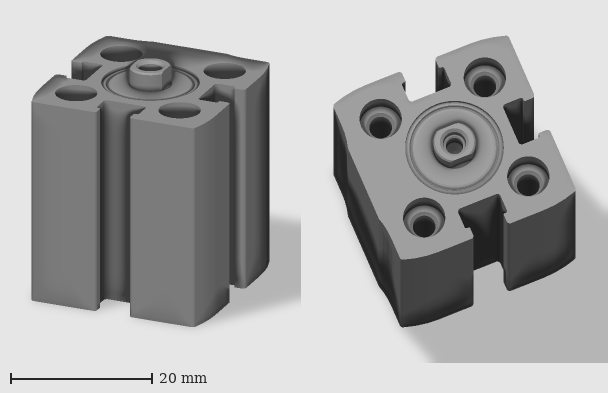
import cadquery as cq
import math

height = 30.5
side = 27.0
half_side = side / 2
bulge_radius = 16.0
corner_radius = 0.5

pad_rise = 0.5
pad_half_width = 5.68
pad_foot_half_width = 9.0

hole_pitch = 16.0
hole_diameter = 3.25
hole_sink_diameter = 4.12
counterbore_diameter = 6.0
counterbore_depth = 3.5

mouth_width = 5.15
mouth_radius = 0.5
lip_depth = 1.7
lip_radius = 0.2
undercut_width = 6.5
undercut_radius = 0.5
undercut_lip_radius = 0.3
slot_depth = 4.82

recess_radius = 14.0 / 2
recess_depth = 0.53
bevel_top_radius = 6.4
bevel_top_depth = 0.2
groove_outer_radius = 6.27
groove_inner_radius = 6.15
groove_depth = 0.5
bearing_shoulder_radius = 5.87
bearing_shoulder_depth = 0.25
bearing_face_radius = 5.6
bearing_face_depth = 0.2

rod_diameter = 6.0
rod_radius = rod_diameter / 2
bore_depth = 9.9
bore_rim_chamfer = 0.13
rod_end_z = 33.0
rod_end_chamfer = 0.23
flats_width = 5.0
flats_end_depth = 0.2
shank_chamfer_length = 0.3

rod_hole_diameter = 3.3
rod_hole_sink_diameter = 4.12
rod_hole_depth = 1.6
rod_core_diameter = 2.48
rod_core_sink_diameter = 2.9
rod_core_depth = 3.95
drill_tip_angle = 118.0


def make_profile():
    bulge_start = hole_pitch / 2
    bulge_run = half_side - bulge_start
    bulge_inset = bulge_radius - math.sqrt(bulge_radius**2 - bulge_run**2)
    corner_x = half_side - bulge_inset
    pad_y = half_side + pad_rise
    right_half = (
        cq.Workplane("XY")
        .moveTo(0, -half_side)
        .lineTo(corner_x, -half_side)
        .radiusArc((half_side, -bulge_start), -bulge_radius)
        .lineTo(half_side, bulge_start)
        .radiusArc((corner_x, half_side), -bulge_radius)
        .lineTo(pad_foot_half_width, half_side)
        .tangentArcPoint((pad_half_width, pad_y), relative=False)
        .lineTo(0, pad_y)
    )
    profile = right_half.mirrorY().extrude(height)
    corners = [(sx * corner_x, sy * half_side) for sx in (-1, 1) for sy in (-1, 1)]
    return round_vertical_edges(profile, corners, corner_radius)


def round_vertical_edges(body, points, radius):
    """Round the vertical edges of a body that pass through the given XY points."""
    tolerance = 0.003

    def passes_a_point(edge):
        center = edge.Center()
        return any(math.hypot(center.x - x, center.y - y) < tolerance for x, y in points)

    return body.edges("|Z").filter(passes_a_point).edges().fillet(radius)


def cut_t_slot(body, angle):
    """Cut the T-slot of the -Y side, turned about Z by the given angle."""
    outer_y = -half_side
    lip_y = outer_y + lip_depth
    mouth = cq.Workplane("XY").box(mouth_width, lip_depth, height, centered=(True, False, False))
    undercut_depth = slot_depth - lip_depth
    undercut = cq.Workplane("XY").box(
        undercut_width, undercut_depth, height, centered=(True, False, False)
    )
    undercut = undercut.edges("|Z and >Y").fillet(undercut_radius)
    undercut = undercut.edges("|Z and <Y").fillet(undercut_lip_radius)
    slot = mouth.translate((0, outer_y, 0)).union(undercut.translate((0, lip_y, 0)))

    body = body.rotate((0, 0, 0), (0, 0, 1), -angle).cut(slot)
    half_mouth = mouth_width / 2
    body = round_vertical_edges(body, [(-half_mouth, outer_y), (half_mouth, outer_y)], mouth_radius)
    body = round_vertical_edges(body, [(-half_mouth, lip_y), (half_mouth, lip_y)], lip_radius)
    return body.rotate((0, 0, 0), (0, 0, 1), angle)


def make_mounting_hole():
    """Through hole with a 45 degree sink at the floor of its counterbore."""
    hole_radius = hole_diameter / 2
    sink_radius = hole_sink_diameter / 2
    counterbore_radius = counterbore_diameter / 2
    floor_z = height - counterbore_depth
    return (
        cq.Workplane("XZ")
        .polyline(
            [
                (0, 0),
                (hole_radius, 0),
                (hole_radius, floor_z - (sink_radius - hole_radius)),
                (sink_radius, floor_z),
                (counterbore_radius, floor_z),
                (counterbore_radius, height),
                (0, height),
            ]
        )
        .close()
        .revolve(360, (0, 0), (0, 1))
    )


def make_bearing_recess():
    """Stepped ring, lower than the top face, that leaves the bearing face standing inside it."""
    return (
        cq.Workplane("XZ")
        .polyline(
            [
                (0, height),
                (recess_radius, height),
                (recess_radius, height - recess_depth),
                (bevel_top_radius, height - bevel_top_depth),
                (groove_outer_radius, height - groove_depth),
                (groove_inner_radius, height - groove_depth),
                (bearing_shoulder_radius, height - bearing_shoulder_depth),
                (bearing_face_radius, height - bearing_face_depth),
                (0, height - bearing_face_depth),
            ]
        )
        .close()
        .revolve(360, (0, 0), (0, 1))
    )


def make_rod_bore():
    face_z = height - bearing_face_depth
    rim_radius = rod_radius + bore_rim_chamfer
    bottom_z = height - bore_depth
    return (
        cq.Workplane("XZ")
        .polyline(
            [
                (0, bottom_z),
                (rod_radius, bottom_z),
                (rod_radius, face_z - bore_rim_chamfer),
                (rim_radius, face_z),
                (0, face_z),
            ]
        )
        .close()
        .revolve(360, (0, 0), (0, 1))
    )


def make_housing():
    housing = make_profile()
    for angle in (-90, 0, 90):
        housing = cut_t_slot(housing, angle)
    half_pitch = hole_pitch / 2
    for x in (-half_pitch, half_pitch):
        for y in (-half_pitch, half_pitch):
            housing = housing.cut(make_mounting_hole().translate((x, y, 0)))
    return housing.cut(make_bearing_recess()).cut(make_rod_bore())


def make_rod_hole():
    """Drilled hole with a conical bottom, widened and chamfered at the rod end."""
    core_radius = rod_core_diameter / 2
    hole_radius = rod_hole_diameter / 2
    sink_radius = rod_hole_sink_diameter / 2
    core_sink_radius = rod_core_sink_diameter / 2
    step_z = rod_end_z - rod_hole_depth
    core_end_z = rod_end_z - rod_core_depth
    tip_length = core_radius / math.tan(math.radians(drill_tip_angle / 2))
    return (
        cq.Workplane("XZ")
        .polyline(
            [
                (0, core_end_z - tip_length),
                (core_radius, core_end_z),
                (core_radius, step_z - (core_sink_radius - core_radius)),
                (core_sink_radius, step_z),
                (hole_radius, step_z),
                (hole_radius, rod_end_z - (sink_radius - hole_radius)),
                (sink_radius, rod_end_z),
                (0, rod_end_z),
            ]
        )
        .close()
        .revolve(360, (0, 0), (0, 1))
    )


def make_rod():
    """Rod with a chamfered shank and a narrower end that has two flats."""
    bottom_z = height - bore_depth
    half_flats = flats_width / 2
    shank_top_z = height - flats_end_depth
    base = cq.Workplane("XY").workplane(offset=bottom_z)
    shank = base.circle(rod_radius).extrude(shank_top_z - bottom_z)
    shank = shank.faces(">Z").chamfer(shank_chamfer_length, rod_radius - half_flats)

    end = base.circle(rod_radius).extrude(rod_end_z - bottom_z)
    end = end.faces(">Z").chamfer(rod_end_chamfer)
    between_flats = cq.Workplane("XY").box(flats_width, rod_diameter, rod_end_z, centered=(True, True, False))
    return shank.union(end.intersect(between_flats)).cut(make_rod_hole())


housing = make_housing().solids()
rod = make_rod().solids()

result = cq.Compound.makeCompound([housing.val(), rod.val()])